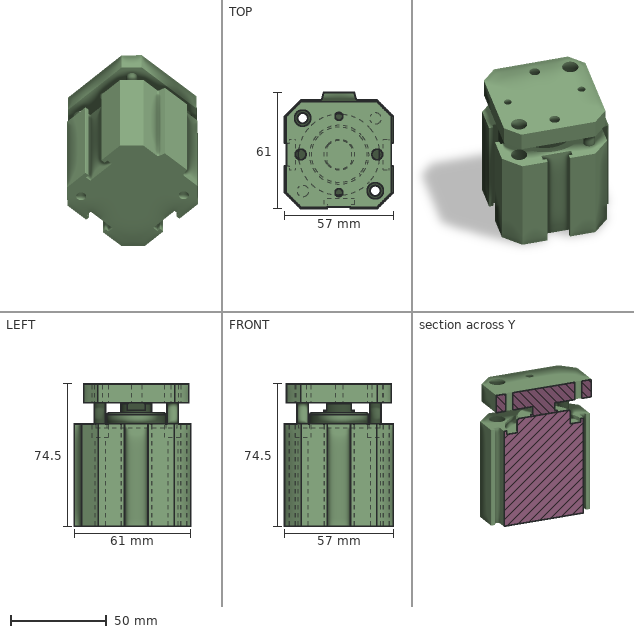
import cadquery as cq

housing_width = 57.0
housing_corner = 8.7
housing_height = 53.65
housing_half = housing_width / 2

slot_opening = 12.0
slot_inner_width = 16.0
slot_depth = 5.5
slot_lip = 2.4
slot_edge_bevel = 0.2
slot_inner_bevel = 0.2

overall_depth = 61.0
rail_height = overall_depth - housing_width
rail_top_width = 16.0
rail_base_width = 18.2
rail_root_radius = 1.0
edge_search_margin = 0.1

recess_diameter = 42.5
recess_depth = 2.0
collar_diameter = 31.0
collar_top = 59.45
collar_chamfer = 1.0

plate_width = 55.0
plate_corner = 7.45
plate_thickness = 10.0
overall_height = 74.5
plate_bottom = overall_height - plate_thickness

corner_offset = 19.0
pin_diameter = 6.0
mount_hole_diameter = 8.5
mount_bolt_diameter = 5.3
mount_counterbore_depth = 7.0

axis_hole_offset = 20.0
x_hole_diameter = 5.5
y_hole_diameter = 4.1

rod_diameter = 16.0
rod_across_flats = 13.0
rod_flat_bottom = 60.65
rod_chamfer = 0.45

pin_points = [(-corner_offset, -corner_offset), (corner_offset, corner_offset)]
mount_points = [(-corner_offset, corner_offset), (corner_offset, -corner_offset)]


def chamfered_square(width, corner, bottom, height):
    """Square block with its four vertical corners cut off."""
    block = cq.Workplane("XY", origin=(0, 0, bottom)).rect(width, width).extrude(height)
    return block.edges("|Z").chamfer(corner)


def round_bar(diameter, bottom, top, points=((0, 0),)):
    """Vertical cylinders of one diameter at the given points."""
    plane = cq.Workplane("XY", origin=(0, 0, bottom))
    return plane.pushPoints(points).circle(diameter / 2).extrude(top - bottom)


def make_slot(angle):
    """T-shaped cutter along Z on the -Y side, turned about Z by the angle."""
    opening = slot_opening / 2
    inner = slot_inner_width / 2
    face = -housing_half
    lip_end = face + slot_lip
    floor = face + slot_depth
    half_outline = [
        (opening + slot_edge_bevel, face),
        (opening, face + slot_edge_bevel),
        (opening, lip_end - slot_inner_bevel),
        (opening + slot_inner_bevel, lip_end),
        (inner, lip_end),
        (inner, floor - slot_inner_bevel),
        (inner - slot_inner_bevel, floor),
    ]
    mirrored = [(-x, y) for x, y in reversed(half_outline)]
    cutter = cq.Workplane("XY").polyline(half_outline + mirrored).close().extrude(housing_height)
    return cutter.rotate((0, 0, 0), (0, 0, 1), angle)


def make_rail():
    """Tapered rail along Z, standing on the +Y side."""
    base = rail_base_width / 2
    top = rail_top_width / 2
    outline = [
        (-base, housing_half),
        (-top, housing_half + rail_height),
        (top, housing_half + rail_height),
        (base, housing_half),
    ]
    return cq.Workplane("XY").polyline(outline).close().extrude(housing_height)


def make_housing():
    body = chamfered_square(housing_width, housing_corner, 0, housing_height)
    body = body.union(make_rail())
    rail_root = cq.selectors.BoxSelector(
        (-rail_base_width, housing_half - edge_search_margin, 0),
        (rail_base_width, housing_half + edge_search_margin, housing_height),
    )
    body = body.edges("|Z").edges(rail_root).fillet(rail_root_radius)

    for angle in (-90, 0, 90):
        body = body.cut(make_slot(angle))

    recess_floor = housing_height - recess_depth
    body = body.cut(round_bar(recess_diameter, recess_floor, housing_height))
    collar = round_bar(collar_diameter, recess_floor, collar_top)
    body = body.union(collar.faces(">Z").chamfer(collar_chamfer))

    counterbore_floor = housing_height - mount_counterbore_depth
    body = body.cut(round_bar(mount_bolt_diameter, 0, housing_height, mount_points))
    return body.cut(round_bar(mount_hole_diameter, counterbore_floor, housing_height, mount_points))


def make_piston_rod():
    """Rod with two flats facing -X and +X and a chamfered upper end."""
    rod = round_bar(rod_diameter, collar_top, plate_bottom).faces(">Z").chamfer(rod_chamfer)
    round_foot = round_bar(rod_diameter, collar_top, rod_flat_bottom)
    flats = cq.Workplane("XY", origin=(0, 0, collar_top)).rect(rod_across_flats, rod_diameter)
    return rod.intersect(flats.extrude(plate_bottom - collar_top)).union(round_foot)


def make_slide():
    """Mounting plate carried by the piston rod and two guide pins."""
    plate = chamfered_square(plate_width, plate_corner, plate_bottom, plate_thickness)
    x_points = [(-axis_hole_offset, 0), (axis_hole_offset, 0)]
    y_points = [(0, -axis_hole_offset), (0, axis_hole_offset)]
    for diameter, points in (
        (mount_hole_diameter, mount_points),
        (x_hole_diameter, x_points),
        (y_hole_diameter, y_points),
    ):
        plate = plate.cut(round_bar(diameter, plate_bottom, overall_height, points))

    pins = round_bar(pin_diameter, housing_height, plate_bottom, pin_points)
    return plate.union(make_piston_rod()).union(pins)


housing = make_housing()
slide = make_slide()

result = cq.Compound.makeCompound([housing.val(), slide.val()])